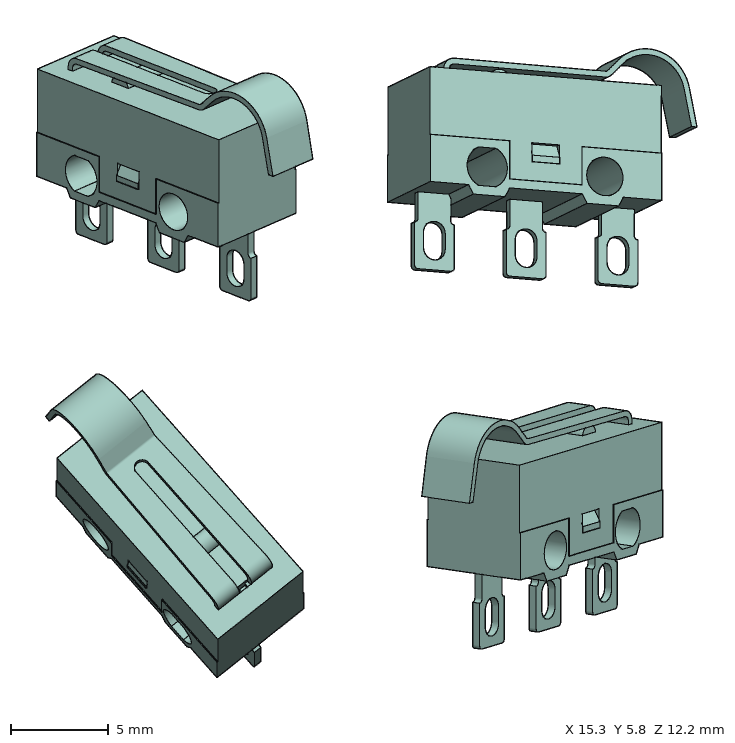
import cadquery as cq
import math


total_length = 15.32
lever_top_z = 8.15
terminal_bottom_z = -4.01

housing_length = 12.79
housing_height = 6.0
base_width = 5.8
cover_width = 5.7
split_z = 2.47
mid_x = housing_length / 2

tongue_length = 4.0
tongue_bottom_z = 0.47
window_length = 1.52
window_bottom_z = 1.47
hook_edge_z = 1.81
hook_slope_depth = 0.4

foot_offset = 3.14
foot_top_length = 2.28
foot_bottom_length = 1.75
foot_height = 0.47

hole_diameter = 2.0
hole_offset = 3.25
hole_z = hole_diameter / 2
wide_hole_diameter = 2.22

terminal_pitch = 5.07
terminal_thickness = 0.45
neck_width = 1.81
head_width = 2.2
shoulder_z = -1.58
shoulder_step = (head_width - neck_width) / 2
terminal_corner_radius = 0.2
eye_width = 1.2
eye_height = 2.0
eye_z = -2.48
terminal_embed = 0.3

plunger_x = 4.46
plunger_radius = 0.6
plunger_width = 2.8
plunger_top_z = 6.48

strip = 0.3
leg_x = 1.2
flat_top_z = plunger_top_z + strip
leg_bend_radius = 0.6
leg_embed = 0.3
kink_inner_radius = 0.15
kink_angle = math.radians(45)
hook_radius = 2.33
tail_angle = math.radians(12)
tail_end_z = 4.29
lever_root_width = 3.62
lever_tip_width = 2.97

slot_width = 0.81
slot_end_x = 9.8
pit_depth = 0.3
pit_core_width = 0.43
pit_core_depth = 0.61


def box(x_min, x_max, width, z_min, z_max):
    """Block centred on Y = 0."""
    return (
        cq.Workplane("XY", origin=((x_min + x_max) / 2, 0, z_min))
        .rect(x_max - x_min, width)
        .extrude(z_max - z_min)
    )


def side_plane(x=0, z=0):
    """Work plane on Y = 0 whose local axes are X and Z."""
    return cq.Workplane("XZ", origin=(x, 0, z))


def make_foot(x):
    half_top = foot_top_length / 2
    half_bottom = foot_bottom_length / 2
    outline = [
        (-half_top, 0),
        (-half_bottom, -foot_height),
        (half_bottom, -foot_height),
        (half_top, 0),
    ]
    return side_plane(x).polyline(outline).close().extrude(base_width / 2, both=True)


def cut_tongue_and_window(housing, side):
    """Step one long face back to the cover width and open the hook window; side is -1 or +1 in Y."""
    base_face = side * base_width / 2
    cover_face = side * cover_width / 2
    step = base_width / 2 - cover_width / 2
    tongue = cq.Workplane("XY").box(tongue_length, step, split_z - tongue_bottom_z)
    tongue = tongue.translate((mid_x, (base_face + cover_face) / 2, (split_z + tongue_bottom_z) / 2))

    slope_face = base_face - side * hook_slope_depth
    window_start = mid_x - window_length / 2
    slope_cut = (
        cq.Workplane("YZ", origin=(window_start, 0, 0))
        .polyline([(base_face, hook_edge_z), (slope_face, split_z), (base_face, split_z)])
        .close()
        .extrude(window_length)
    )
    hook_block = cq.Workplane("XY").box(window_length, step, split_z - window_bottom_z)
    hook_block = hook_block.translate((mid_x, (base_face + cover_face) / 2, (split_z + window_bottom_z) / 2))
    return housing.cut(tongue).union(hook_block).cut(slope_cut)


def cut_mounting_holes(housing):
    round_hole = side_plane(mid_x + hole_offset, hole_z).circle(hole_diameter / 2)
    round_hole = round_hole.extrude(base_width, both=True)
    wide_x = mid_x - hole_offset
    wide_radius = wide_hole_diameter / 2
    wide_hole = side_plane(wide_x, hole_z).circle(wide_radius).extrude(base_width, both=True)
    flats = box(wide_x - wide_radius, wide_x + wide_radius, 2 * base_width, 0, hole_diameter)
    return housing.cut(round_hole).cut(wide_hole.intersect(flats))


def make_housing():
    housing = box(0, housing_length, base_width, 0, split_z)
    housing = housing.union(box(0, housing_length, cover_width, split_z, housing_height))
    for direction in (-1, 1):
        housing = housing.union(make_foot(mid_x + direction * foot_offset))
        housing = cut_tongue_and_window(housing, direction)
    return cut_mounting_holes(housing)


def cut_lever_pit(housing):
    for width, depth in ((slot_width, pit_depth), (pit_core_width, pit_core_depth)):
        housing = housing.cut(box(leg_x, leg_x + strip, width, housing_height - depth, housing_height))
    return housing


def make_terminal(x):
    half_neck = neck_width / 2
    half_head = head_width / 2
    blade = (
        side_plane(x)
        .moveTo(-half_neck, terminal_embed)
        .lineTo(-half_neck, shoulder_z + shoulder_step)
        .radiusArc((-half_head, shoulder_z), shoulder_step)
        .lineTo(-half_head, terminal_bottom_z)
        .lineTo(half_head, terminal_bottom_z)
        .lineTo(half_head, shoulder_z)
        .radiusArc((half_neck, shoulder_z + shoulder_step), shoulder_step)
        .lineTo(half_neck, terminal_embed)
        .close()
        .extrude(terminal_thickness / 2, both=True)
        .edges("|Y and <Z")
        .fillet(terminal_corner_radius)
    )
    eye = side_plane(x, eye_z).slot2D(eye_height, eye_width, 90).extrude(terminal_thickness, both=True)
    return blade.cut(eye)


def make_plunger():
    end_plane = cq.Workplane("XZ", origin=(plunger_x, plunger_width / 2, plunger_top_z - plunger_radius))
    return end_plane.circle(plunger_radius).extrude(plunger_width)


def arc_point(center, radius, angle):
    return (center[0] + radius * math.cos(angle), center[1] + radius * math.sin(angle))


def make_lever_strip():
    """Bent strip of constant thickness, extruded to the root width."""
    leg_bottom = housing_height - leg_embed

    hook_z = lever_top_z - hook_radius
    tail_drop = hook_z + hook_radius * math.sin(tail_angle) - tail_end_z
    hook_x = total_length - hook_radius * math.cos(tail_angle) - tail_drop * math.tan(tail_angle)
    hook_center = (hook_x, hook_z)
    hook_start = math.pi / 2 + kink_angle
    hook_middle = (hook_start + tail_angle) / 2
    inner_hook_radius = hook_radius - strip

    kink_z = flat_top_z + kink_inner_radius
    rise_to_hook = hook_z - kink_z + (hook_radius + kink_inner_radius) * math.cos(kink_angle)
    run_to_hook = rise_to_hook / math.tan(kink_angle)
    kink_x = hook_x - (hook_radius + kink_inner_radius) * math.sin(kink_angle) - run_to_hook
    kink_center = (kink_x, kink_z)
    kink_start = -math.pi / 2
    kink_middle = kink_start + kink_angle / 2
    kink_end = kink_start + kink_angle
    kink_outer_radius = kink_inner_radius + strip

    bend_center = (leg_x + leg_bend_radius, flat_top_z - leg_bend_radius)
    bend_middle = math.radians(135)
    inner_bend_radius = leg_bend_radius - strip

    tail_end_inner_x = total_length - strip / math.cos(tail_angle)
    return (
        side_plane()
        .moveTo(leg_x, leg_bottom)
        .lineTo(leg_x, bend_center[1])
        .threePointArc(arc_point(bend_center, leg_bend_radius, bend_middle), (bend_center[0], flat_top_z))
        .lineTo(kink_x, flat_top_z)
        .threePointArc(
            arc_point(kink_center, kink_inner_radius, kink_middle),
            arc_point(kink_center, kink_inner_radius, kink_end),
        )
        .lineTo(*arc_point(hook_center, hook_radius, hook_start))
        .threePointArc(
            arc_point(hook_center, hook_radius, hook_middle),
            arc_point(hook_center, hook_radius, tail_angle),
        )
        .lineTo(total_length, tail_end_z)
        .lineTo(tail_end_inner_x, tail_end_z)
        .lineTo(*arc_point(hook_center, inner_hook_radius, tail_angle))
        .threePointArc(
            arc_point(hook_center, inner_hook_radius, hook_middle),
            arc_point(hook_center, inner_hook_radius, hook_start),
        )
        .lineTo(*arc_point(kink_center, kink_outer_radius, kink_end))
        .threePointArc(
            arc_point(kink_center, kink_outer_radius, kink_middle),
            (kink_x, flat_top_z - strip),
        )
        .lineTo(bend_center[0], flat_top_z - strip)
        .threePointArc(
            arc_point(bend_center, inner_bend_radius, bend_middle),
            (leg_x + strip, bend_center[1]),
        )
        .lineTo(leg_x + strip, leg_bottom)
        .close()
        .extrude(lever_root_width / 2, both=True)
    )


def make_lever():
    """Lever strip tapered in plan, with an open-ended slot that splits its root into two legs."""
    half_root = lever_root_width / 2
    half_tip = lever_tip_width / 2
    plan = (
        cq.Workplane("XY")
        .polyline([
            (leg_x, -half_root),
            (total_length, -half_tip),
            (total_length, half_tip),
            (leg_x, half_root),
        ])
        .close()
        .extrude(lever_top_z)
    )
    slot_center_x = slot_end_x - slot_width / 2
    slot = box(0, slot_center_x, slot_width, 0, lever_top_z)
    slot_end = cq.Workplane("XY").center(slot_center_x, 0).circle(slot_width / 2).extrude(lever_top_z)
    return make_lever_strip().intersect(plan).cut(slot).cut(slot_end)


result = cut_lever_pit(make_housing())
for index in (-1, 0, 1):
    result = result.union(make_terminal(mid_x + index * terminal_pitch))
result = result.union(make_plunger()).union(make_lever())